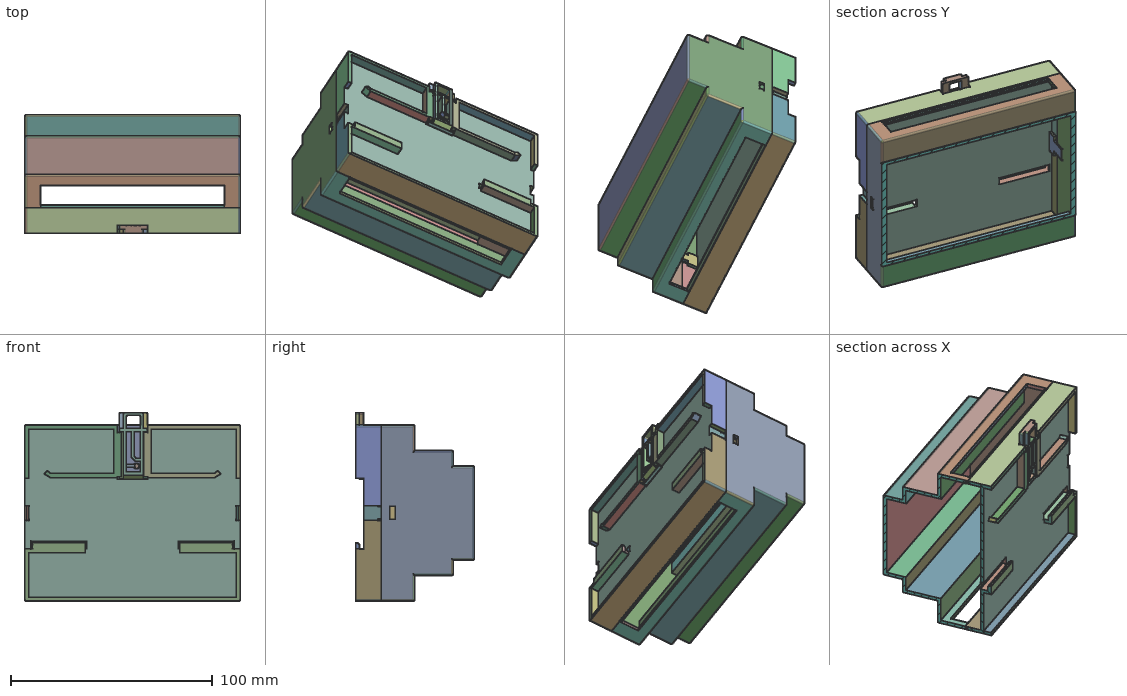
import cadquery as cq


width = 107.0
depth = 59.0
height = 87.5
half_width = width / 2
wall = 2.0
cover_side_wall = 3.0
edge_radius = 1.0
parting_y = 12.6

tolerance = 0.001

tier_depths = [29.4, 48.5, depth]
tier_insets = [0.0, 12.7, 20.3]

slot_length = 91.2
slot_end_y = 23.6

tongue_height = 1.5
tongue_inset = wall / 2

recess_depth = 4.0
rail_bottom = 26.0
rail_height = 35.0
rail_top = rail_bottom + rail_height
rim = 1.9

hook_inner_x = 23.3
hook_outer_x = 49.6
hook_rise = 3.0
hook_thickness = 2.0
hook_bevel = 1.0
hook_window_gap = 0.7
hook_window_rise = 3.9

ledge_bottom = 61.3
ledge_thickness = 2.2
ledge_bend_x = 40.8
ledge_tip_run = 3.0
ledge_tip_rise = 1.9
ledge_tip_offset = 1.5

guide_half_width = 9.3
channel_half_width = 7.5
channel_bottom = 60.6
channel_depth = 4.1
lip_half_gap = 5.6
lip_thickness = 1.9
lip_bottom = 61.7
lip_top = 83.8

snap_center_z = 43.9
snap_width = 6.3
snap_notch_bottom = 40.1
snap_notch_top = 47.3
snap_slit_y = 11.0
snap_thickness = 1.3
snap_hook_start = 17.0
snap_hook_end = 19.6
snap_hook_height = 1.6

clip_center_x = 0.4
clip_top = 93.5
clip_bottom = channel_bottom
clip_thickness = recess_depth
clip_half_width = 7.1
clip_front_half_width = 4.9
clip_front_thickness = lip_thickness
clip_corner_radius = 0.6
clip_window_half_width = 3.4
clip_window_top = 92.2
clip_window_bottom = 64.3
clip_bevel_rise = 1.9
clip_bevel_depth = 2.1
crossbar_bottom = 84.1
crossbar_top = 85.7
spring_left = -1.0
spring_width = 1.5
spring_foot_bottom = 69.4
spring_foot_top = 70.8
spring_bend = 1.9
finger_bottom = 66.3
finger_top = 67.8
finger_slope = 1.4
pin_x = 1.5
pin_radius = 1.4
pin_edge_radius = 0.4


def box(x0, x1, y0, y1, z0, z1):
    """Box between two opposite corners."""
    return cq.Workplane("XY").box(x1 - x0, y1 - y0, z1 - z0, centered=False).translate((x0, y0, z0))


def plate(points, y0, y1):
    """Closed XZ outline extruded from y0 to y1."""
    return cq.Workplane("XZ", origin=(0, y0, 0)).polyline(points).close().extrude(y0 - y1)


def both_sides(shape):
    """A shape together with its mirror image across the middle of the width."""
    return shape.union(shape.mirror("YZ"))


def stepped_block(side_inset, inset):
    """Three-tier block of the cover, shrunk at its sides and at its other outer faces."""
    block = None
    for tier_depth, tier_inset in zip(tier_depths, tier_insets):
        edge_gap = tier_inset + inset
        tier = box(
            side_inset - half_width, half_width - side_inset,
            parting_y, tier_depth - inset,
            edge_gap, height - edge_gap,
        )
        block = tier if block is None else block.union(tier)
    return block


def tongue_block():
    """Outer block of the tongue, which is also the rabbet that receives it."""
    outer_x = half_width - tongue_inset
    return box(
        -outer_x, outer_x,
        parting_y, parting_y + tongue_height,
        tongue_inset, height - tongue_inset,
    )


def make_cover():
    """Hollow stepped cover with every outer edge rounded except the inner step corners."""
    outer = stepped_block(0, 0)
    inner_corners = [
        (tier_depths[i], z)
        for i in (0, 1)
        for z in (tier_insets[i + 1], height - tier_insets[i + 1])
    ]

    def is_inner(middle):
        return abs(middle.x) < tolerance and any(
            abs(middle.y - y) < tolerance and abs(middle.z - z) < tolerance for y, z in inner_corners
        )

    def is_rounded(edge):
        middle = edge.Center()
        on_parting = abs(middle.y - parting_y) < tolerance
        return not on_parting and not is_inner(middle)

    rounded = [edge for edge in outer.edges().vals() if is_rounded(edge)]
    cover = outer.newObject(rounded).fillet(edge_radius).cut(stepped_block(cover_side_wall, wall))
    cover = cover.cut(tongue_block())

    cover = cover.cut(box(-slot_length / 2, slot_length / 2, parting_y, slot_end_y, 0, height))

    window = box(
        -half_width, wall - half_width,
        snap_hook_start, snap_hook_end,
        snap_center_z - snap_width / 2, snap_center_z + snap_width / 2,
    )
    pocket = box(
        wall - half_width, cover_side_wall - half_width,
        parting_y, snap_hook_end,
        snap_notch_bottom, snap_notch_top,
    )
    return cover.cut(both_sides(window.union(pocket)))


def base_shell():
    """Open tray with a tongue around its mouth."""
    shell = box(-half_width, half_width, 0, parting_y, 0, height).edges("|Y").fillet(edge_radius)
    return shell.union(tongue_block()).cut(
        box(
            wall - half_width, half_width - wall,
            recess_depth + wall, parting_y + tongue_height,
            wall, height - wall,
        )
    )


def rail_recess():
    """Material removed from the rail side: the rail passage and the fields inside the rims."""
    inner_x = half_width - rim
    passage = box(-half_width, half_width, 0, recess_depth, rail_bottom, rail_top)
    field = box(-inner_x, inner_x, 0, recess_depth, rim, height - ledge_thickness)
    return passage.union(field)


def fixed_hook():
    """Rim under the rail at the right side, with a lip that holds the rail edge."""
    support = box(hook_inner_x, half_width - rim, 0, recess_depth, rail_bottom - wall, rail_bottom)
    lip_end = rail_bottom + hook_rise
    lip = box(hook_inner_x, hook_outer_x, 0, hook_thickness, rail_bottom, lip_end)
    lip = lip.faces(">Z").edges(">Y").chamfer(hook_bevel)
    return support.union(lip)


def hook_window():
    """Opening through the floor behind the right hook."""
    return box(
        hook_inner_x - hook_window_gap, hook_outer_x + hook_window_gap,
        recess_depth, recess_depth + wall,
        rail_bottom, rail_bottom + hook_window_rise,
    )


def ledge():
    """Ledge above the rail, bent up at its right end."""
    top = ledge_bottom + ledge_thickness
    tip_x = ledge_bend_x + ledge_tip_run
    tip_z = ledge_bottom + ledge_tip_rise
    points = [
        (0, ledge_bottom),
        (ledge_bend_x, ledge_bottom),
        (tip_x, tip_z),
        (tip_x - ledge_tip_offset, tip_z + ledge_tip_offset),
        (ledge_bend_x, top),
        (0, top),
    ]
    return plate(points, 0, recess_depth)


def clip_channel():
    """T-shaped channel for the clip, open at the top."""
    channel = box(-channel_half_width, channel_half_width, 0, channel_depth, channel_bottom, height)
    lip = box(lip_half_gap, channel_half_width, 0, lip_thickness, lip_bottom, lip_top)
    return channel.cut(both_sides(lip))


def snap_notch():
    """Notch through the left side wall, around the snap arm."""
    return box(
        -half_width, wall - half_width,
        0, parting_y + tongue_height,
        snap_notch_bottom, snap_notch_top,
    )


def snap_arm():
    """Arm behind the left notch, with a wide root and a ramped hook for the cover window."""
    face_x = wall - half_width
    back_x = face_x + snap_thickness
    root = box(
        face_x, back_x,
        recess_depth, snap_slit_y,
        snap_notch_bottom - wall, snap_notch_top + wall,
    )
    points = [
        (face_x, snap_slit_y),
        (face_x, snap_hook_start),
        (face_x - snap_hook_height, snap_hook_start),
        (face_x, snap_hook_end),
        (back_x, snap_hook_end),
        (back_x, snap_slit_y),
    ]
    arm = cq.Workplane("XY").polyline(points).close().extrude(snap_width)
    return root.union(arm.translate((0, 0, snap_center_z - snap_width / 2)))


def make_base():
    """Tray with the rail hooks, ledges, clip guide and snap arms."""
    base = base_shell().cut(rail_recess())
    base = base.union(both_sides(fixed_hook())).cut(both_sides(hook_window()))
    base = base.union(both_sides(ledge()))
    guide = box(-guide_half_width, guide_half_width, 0, recess_depth, ledge_bottom, height)
    base = base.union(guide).cut(clip_channel())
    return base.cut(both_sides(snap_notch())).union(both_sides(snap_arm()))


def clip_body():
    """T-section slide with a crossbar stop and a bevelled lower end."""
    back = box(
        -clip_half_width, clip_half_width,
        clip_front_thickness, clip_thickness,
        clip_bottom, clip_top,
    )
    front = box(
        -clip_front_half_width, clip_front_half_width,
        0, clip_front_thickness,
        clip_bottom, clip_top,
    )
    crossbar = box(
        -clip_half_width, clip_half_width,
        0, clip_front_thickness,
        crossbar_bottom, crossbar_top,
    )
    back = back.faces(">Z").edges("|Y").fillet(clip_corner_radius)
    front = front.faces(">Z").edges("|Y").fillet(clip_corner_radius)
    crossbar = crossbar.edges("|Y").fillet(clip_corner_radius)
    bevel = (
        cq.Workplane("YZ", origin=(-clip_half_width, 0, 0))
        .polyline([
            (0, clip_bottom),
            (clip_bevel_depth, clip_bottom),
            (0, clip_bottom + clip_bevel_rise),
        ])
        .close()
        .extrude(2 * clip_half_width)
    )
    return back.union(front).union(crossbar).cut(bevel)


def clip_openings():
    """Finger window above the crossbar and spring window below it."""
    half = clip_window_half_width
    upper = box(-half, half, 0, clip_thickness, crossbar_top, clip_window_top)
    upper = upper.faces(">Z").edges("|Y").fillet(clip_corner_radius)
    lower = box(-half, half, 0, clip_thickness, clip_window_bottom, crossbar_bottom)
    return upper.union(lower)


def clip_spring():
    """Spring strip from the crossbar down and across to the right side of the clip."""
    right = clip_window_half_width
    spring_right = spring_left + spring_width
    points = [
        (spring_left, crossbar_bottom),
        (spring_right, crossbar_bottom),
        (spring_right, spring_foot_top + spring_bend / 2),
        (spring_right + spring_bend / 2, spring_foot_top),
        (right, spring_foot_top),
        (right, spring_foot_bottom),
        (spring_left + spring_bend, spring_foot_bottom),
        (spring_left, spring_foot_bottom + spring_bend),
    ]
    return plate(points, 0, clip_thickness)


def clip_finger():
    """Ramped finger from the left side of the clip, with a round pin at its end."""
    left = -clip_window_half_width
    finger = (
        cq.Workplane("XY", origin=(0, 0, finger_bottom))
        .polyline([
            (left, 0),
            (pin_x - pin_radius / 2, finger_slope),
            (pin_x, finger_slope),
            (pin_x, clip_thickness),
            (left, clip_thickness),
        ])
        .close()
        .extrude(finger_top - finger_bottom)
    )
    pin_z = (finger_bottom + finger_top) / 2
    pin = (
        cq.Workplane("XZ", origin=(pin_x, finger_slope, pin_z))
        .circle(pin_radius)
        .extrude(finger_slope - clip_thickness)
        .faces("<Y").edges().fillet(pin_edge_radius)
    )
    return finger.union(pin)


def make_clip():
    """Sliding rail clip with its spring and finger, in its channel."""
    clip = clip_body().cut(clip_openings()).union(clip_spring()).union(clip_finger())
    return clip.translate((clip_center_x, 0, 0))


cover = make_cover()
base = make_base()
clip = make_clip()

result = cq.Compound.makeCompound([cover.val(), base.val(), clip.val()])